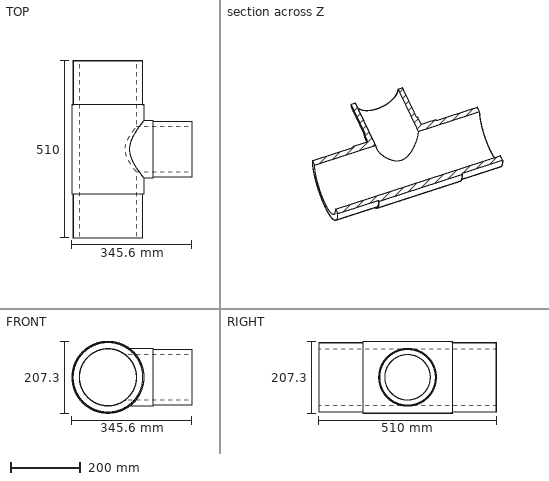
import cadquery as cq

run_length = 510.0
run_diameter = 200.0
run_bore = 163.6
sleeve_diameter = 207.28
sleeve_length = 257.0

branch_reach = 242.0
branch_diameter = 160.0
branch_bore = 130.8
collar_diameter = 165.84
collar_reach = 130.0


def run_cylinder(diameter, length):
    """Cylinder along Y, centred on the junction."""
    return cq.Workplane("XZ").circle(diameter / 2).extrude(length / 2, both=True)


def branch_cylinder(diameter, reach):
    """Cylinder along +X, starting on the axis of the run."""
    return cq.Workplane("YZ").circle(diameter / 2).extrude(reach)


def outer_body():
    run = run_cylinder(run_diameter, run_length)
    sleeve = run_cylinder(sleeve_diameter, sleeve_length)
    branch = branch_cylinder(branch_diameter, branch_reach)
    collar = branch_cylinder(collar_diameter, collar_reach)
    return run.union(sleeve).union(collar).union(branch)


def bores():
    run = run_cylinder(run_bore, run_length)
    branch = branch_cylinder(branch_bore, branch_reach)
    return run.union(branch)


result = outer_body().cut(bores())